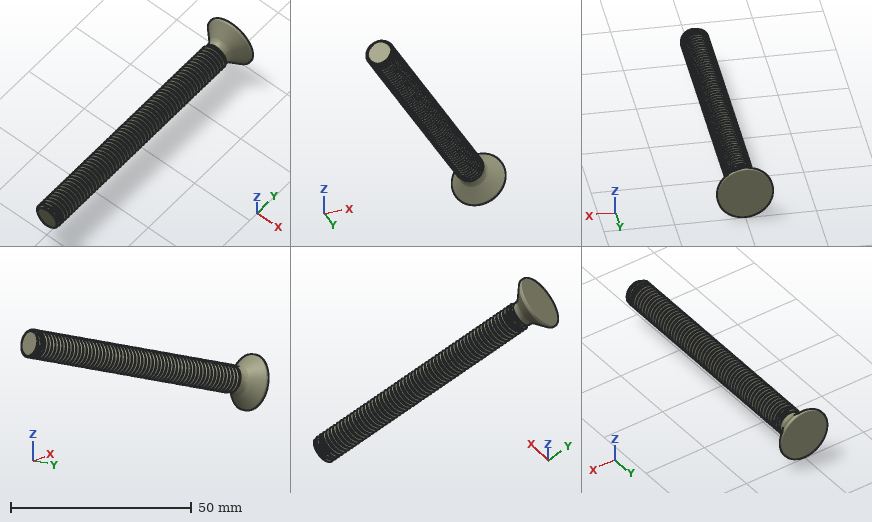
import cadquery as cq
import math

length = 80.0
head_diameter = 15.8
rim_height = 1.0
rim_fillet = 0.2
cone_half_angle = 45.0
neck_diameter = 7.3
neck_end = 6.7
neck_fillet = 2.4

major_diameter = 8.0
diameter_to_pitch = 6.4
flank_half_angle = 30.0
depth_fraction = 5 / 8
crest_fraction = 1 / 8
thread_start = 7.2
thread_start_angle = -90.0
tip_chamfer = 0.4
root_overlap = 0.1

pitch = major_diameter / diameter_to_pitch
sharp_height = pitch / (2 * math.tan(math.radians(flank_half_angle)))
thread_depth = depth_fraction * sharp_height
crest_width = crest_fraction * pitch

head_radius = head_diameter / 2
neck_radius = neck_diameter / 2
major_radius = major_diameter / 2
core_radius = major_radius - thread_depth
cone_height = (head_radius - neck_radius) / math.tan(math.radians(cone_half_angle))
cone_end = rim_height + cone_height


def make_blank():
    """Head, neck and thread core, turned about Z with the head face at Z = 0."""
    neck_step = neck_radius - core_radius
    blank = (
        cq.Workplane("XZ")
        .moveTo(0, 0)
        .lineTo(head_radius, 0)
        .lineTo(head_radius, rim_height)
        .lineTo(neck_radius, cone_end)
        .lineTo(neck_radius, neck_end)
        .lineTo(core_radius, neck_end + neck_step)
        .lineTo(core_radius, length)
        .lineTo(0, length)
        .close()
        .revolve(360, (0, 0, 0), (0, 1, 0))
    )
    cone_foot = cq.selectors.NearestToPointSelector((neck_radius, 0, cone_end))
    rim_edges = cq.selectors.RadiusNthSelector(-1)
    blank = blank.edges("%CIRCLE").edges(cone_foot).fillet(neck_fillet)
    return blank.edges(rim_edges).fillet(rim_fillet)


def make_ridge():
    """Right-handed thread ridge that runs past the tip."""
    inner_radius = core_radius - root_overlap
    half_crest = crest_width / 2
    flank_slope = math.tan(math.radians(flank_half_angle))
    half_base = half_crest + (major_radius - inner_radius) * flank_slope
    helix_height = length + pitch - thread_start
    path = cq.Wire.makeHelix(pitch, helix_height, inner_radius)
    return (
        cq.Workplane("XZ")
        .moveTo(inner_radius, -half_base)
        .lineTo(major_radius, -half_crest)
        .lineTo(major_radius, half_crest)
        .lineTo(inner_radius, half_base)
        .close()
        .sweep(cq.Workplane(obj=path), isFrenet=True)
        .rotate((0, 0, 0), (0, 0, 1), thread_start_angle)
        .translate((0, 0, thread_start))
    )


def make_tip_envelope():
    """Chamfered cylinder that trims the ridge at the tip."""
    return (
        cq.Workplane("XY")
        .circle(major_radius + root_overlap)
        .extrude(length)
        .faces(">Z")
        .chamfer(tip_chamfer + root_overlap)
    )


ridge = make_ridge().intersect(make_tip_envelope())
screw = make_blank().union(ridge)

result = screw.rotate((0, 0, 0), (1, 0, 0), 90)